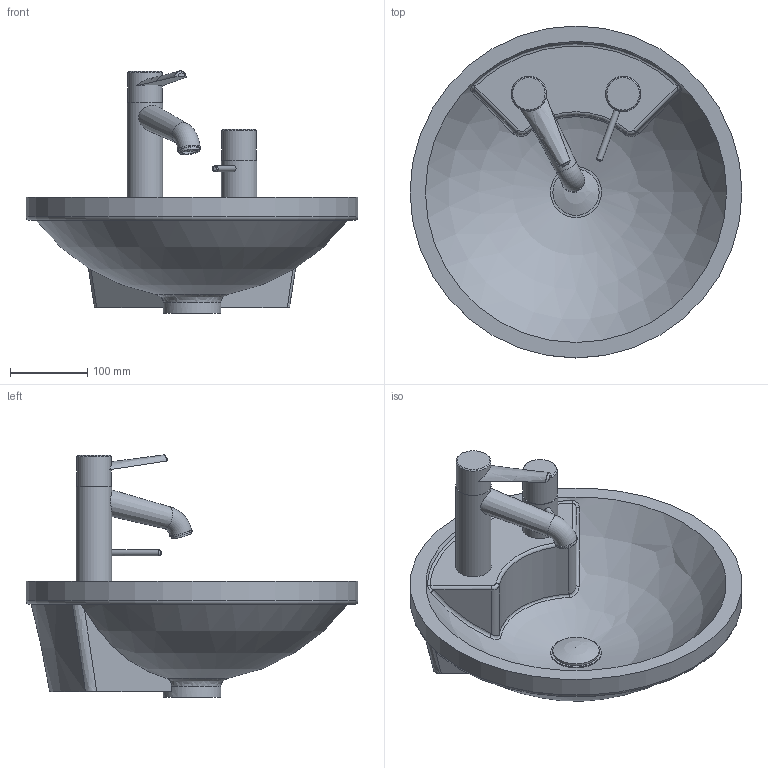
import cadquery as cq
import math


RIM_RADIUS = 430 / 2
RIM_HEIGHT = 30
RIM_FILLET = 5
OPENING_RADIUS = 195
INNER_SPHERE_RADIUS = 225
OUTER_SPHERE_RADIUS = 255
OUTER_BOWL_DEPTH = 130
NECK_RADIUS = 75 / 2
NECK_BOTTOM_Z = -150
NECK_FILLET = 10

SECTOR_HALF_ANGLE = 45
DECK_TOP_Z = -6
DECK_FRONT_RADIUS = 100
DECK_CORNER_FILLET = 10
DECK_EDGE_FILLET = 4
BLOCK_BOTTOM_Z = -143
BLOCK_TOP_RADIUS = 209
BLOCK_BOTTOM_RADIUS = 185
BLOCK_FILLET = 10

FLANGE_RADIUS = 66 / 2
FLANGE_TOP_Z = -109
FLANGE_THICKNESS = 4
PLUG_RADIUS = 60 / 2
PLUG_EDGE_Z = -106
PLUG_APEX_Z = -100.5
TAIL_RADIUS = 52 / 2

FITTING_X = 61
FITTING_Y = 127
COLUMN_RADIUS = 46 / 2
HEAD_RADIUS = 45 / 2
HEAD_HEIGHT = 40
HEAD_CHAMFER = 1.5
TAP_COLUMN_TOP_Z = 123
VALVE_COLUMN_TOP_Z = 48

TAP_TURN = 27
SPOUT_AXIS_Z = 107
SPOUT_SLOPE = 13
SPOUT_LENGTH = 109
SPOUT_ROOT_RADIUS = 35 / 2
SPOUT_TIP_RADIUS = 29 / 2
ELBOW_TURN = 61
ELBOW_BEND_RADIUS = 27
LIP_RADIUS = 30 / 2
LIP_LENGTH = 2
NOZZLE_RADIUS = 26 / 2
NOZZLE_LENGTH = 3
NOZZLE_BORE_RADIUS = 20 / 2

LEVER_LENGTH = 104.3
LEVER_ROOT_WIDTH = 40
LEVER_ROOT_HEIGHT = 9
LEVER_ROOT_Z = 142.9
LEVER_TIP_WIDTH = 16
LEVER_TIP_HEIGHT = 8
LEVER_TIP_Z = 156.11
LEVER_CHAMFER = 3

PIN_TURN = -20
PIN_RADIUS = 8 / 2
PIN_LENGTH = 92
PIN_Z = 37
PIN_CHAMFER = 1.5


def sphere_radius_at(sphere_radius, center_z, z):
    """Radius of the circle that a sphere on the Z axis makes at height z."""
    return math.sqrt(sphere_radius**2 - (z - center_z) ** 2)


def sphere_cap(radius, center_z, top_z):
    """Part of a sphere on the Z axis that lies below top_z."""
    ball = cq.Workplane("XY").sphere(radius).translate((0, 0, center_z))
    box = cq.Workplane("XY").box(2 * radius, 2 * radius, 2 * radius, centered=(True, True, False))
    return ball.intersect(box.translate((0, 0, top_z - 2 * radius)))


def sector_point(radius, side):
    """Point on one edge of the deck's sector; side is -1 or +1 along X."""
    angle = math.radians(SECTOR_HALF_ANGLE)
    return (side * radius * math.sin(angle), radius * math.cos(angle))


def make_deck_prism():
    """Sector with a rounded, concave front; it reaches out past the bowl's wall."""
    reach = RIM_RADIUS
    depth = INNER_SPHERE_RADIUS
    prism = (
        cq.Workplane("XY", origin=(0, 0, DECK_TOP_Z))
        .moveTo(*sector_point(DECK_FRONT_RADIUS, -1))
        .threePointArc((0, DECK_FRONT_RADIUS), sector_point(DECK_FRONT_RADIUS, 1))
        .lineTo(*sector_point(reach, 1))
        .threePointArc((0, reach), sector_point(reach, -1))
        .close()
        .extrude(-depth)
    )
    front_box = cq.selectors.BoxSelector(
        (-DECK_FRONT_RADIUS, 0, -2 * depth), (DECK_FRONT_RADIUS, DECK_FRONT_RADIUS, 0)
    )
    return prism.edges("|Z").edges(front_box).fillet(DECK_CORNER_FILLET)


def make_cavity():
    """Hollow of the bowl, with the filleted tap deck left standing in it."""
    center_z = math.sqrt(INNER_SPHERE_RADIUS**2 - OPENING_RADIUS**2)
    cavity = sphere_cap(INNER_SPHERE_RADIUS, center_z, 0).cut(make_deck_prism())
    deck_box = cq.selectors.BoxSelector(
        (-RIM_RADIUS, 0, -INNER_SPHERE_RADIUS), (RIM_RADIUS, RIM_RADIUS, DECK_TOP_Z / 2)
    )
    return cavity.edges(deck_box).fillet(DECK_EDGE_FILLET)


def make_block():
    """Wedge behind and below the bowl: conical back, flat radial sides."""
    profile = [
        (0, BLOCK_BOTTOM_Z),
        (BLOCK_BOTTOM_RADIUS, BLOCK_BOTTOM_Z),
        (BLOCK_TOP_RADIUS, -RIM_HEIGHT),
        (0, -RIM_HEIGHT),
    ]
    block = (
        cq.Workplane("XZ")
        .polyline(profile)
        .close()
        .revolve(2 * SECTOR_HALF_ANGLE, (0, 0, 0), (0, 1, 0))
        .rotate((0, 0, 0), (0, 0, 1), 90 - SECTOR_HALF_ANGLE)
    )
    middle_z = (BLOCK_BOTTOM_Z - RIM_HEIGHT) / 2
    middle_radius = (BLOCK_BOTTOM_RADIUS + BLOCK_TOP_RADIUS) / 2
    for side in (-1, 1):
        corner = sector_point(middle_radius, side) + (middle_z,)
        block = block.edges(cq.selectors.NearestToPointSelector(corner)).fillet(BLOCK_FILLET)
    return block


def make_basin_outside():
    """Rim, spherical bowl and drain neck, turned in one piece."""
    center_z = OUTER_SPHERE_RADIUS - OUTER_BOWL_DEPTH
    bowl_top_radius = sphere_radius_at(OUTER_SPHERE_RADIUS, center_z, -RIM_HEIGHT)
    neck_top_z = center_z - math.sqrt(OUTER_SPHERE_RADIUS**2 - NECK_RADIUS**2)
    middle_radius = (bowl_top_radius + NECK_RADIUS) / 2
    middle_z = center_z - math.sqrt(OUTER_SPHERE_RADIUS**2 - middle_radius**2)
    outside = (
        cq.Workplane("XZ")
        .lineTo(RIM_RADIUS, 0)
        .lineTo(RIM_RADIUS, RIM_FILLET - RIM_HEIGHT)
        .tangentArcPoint((RIM_RADIUS - RIM_FILLET, -RIM_HEIGHT), relative=False)
        .lineTo(bowl_top_radius, -RIM_HEIGHT)
        .threePointArc((middle_radius, middle_z), (NECK_RADIUS, neck_top_z))
        .lineTo(NECK_RADIUS, NECK_BOTTOM_Z)
        .lineTo(0, NECK_BOTTOM_Z)
        .close()
        .revolve(360, (0, 0, 0), (0, 1, 0))
    )
    neck_joint = cq.selectors.NearestToPointSelector((0, 0, neck_top_z))
    return outside.edges("%CIRCLE").edges(neck_joint).fillet(NECK_FILLET)


def make_basin(drain):
    return make_basin_outside().union(make_block()).cut(make_cavity()).cut(drain)


def make_drain():
    """Domed plug, its flange and the tail that fills the neck."""
    flange_bottom_z = FLANGE_TOP_Z - FLANGE_THICKNESS
    dome_rise = PLUG_APEX_Z - PLUG_EDGE_Z
    dome_radius = (PLUG_RADIUS**2 + dome_rise**2) / (2 * dome_rise)
    return (
        cq.Workplane("XZ")
        .moveTo(0, NECK_BOTTOM_Z)
        .lineTo(TAIL_RADIUS, NECK_BOTTOM_Z)
        .lineTo(TAIL_RADIUS, flange_bottom_z)
        .lineTo(FLANGE_RADIUS, flange_bottom_z)
        .lineTo(FLANGE_RADIUS, FLANGE_TOP_Z)
        .lineTo(PLUG_RADIUS, FLANGE_TOP_Z)
        .lineTo(PLUG_RADIUS, PLUG_EDGE_Z)
        .radiusArc((0, PLUG_APEX_Z), -dome_radius)
        .close()
        .revolve(360, (0, 0, 0), (0, 1, 0))
    )


def make_column(x, top_z):
    column = cq.Workplane("XY", origin=(x, FITTING_Y, DECK_TOP_Z))
    return column.circle(COLUMN_RADIUS).extrude(top_z - DECK_TOP_Z)


def make_head(x, bottom_z):
    head = cq.Workplane("XY", origin=(x, FITTING_Y, bottom_z)).circle(HEAD_RADIUS).extrude(HEAD_HEIGHT)
    return head.faces(">Z").chamfer(HEAD_CHAMFER)


def turn_into_place(arm, turn, x):
    """Swing an arm that runs along -Y about its column's axis, then move it there."""
    return arm.rotate((0, 0, 0), (0, 0, 1), turn).translate((x, FITTING_Y, 0))


def spout_plane(slope, origin):
    """Plane across the spout where it runs along -Y, sloping down by the given angle."""
    angle = math.radians(slope)
    return cq.Plane(origin=origin, xDir=(1, 0, 0), normal=(0, -math.cos(angle), -math.sin(angle)))


def make_spout(column, head):
    """Tapered arm, elbow, lip and hollow nozzle, ending against the column."""
    root = spout_plane(SPOUT_SLOPE, (0, 0, SPOUT_AXIS_Z))
    bend = spout_plane(SPOUT_SLOPE, root.toWorldCoords((0, 0, SPOUT_LENGTH)))
    bend_center = (0, -ELBOW_BEND_RADIUS)
    arm = (
        cq.Workplane(root)
        .circle(SPOUT_ROOT_RADIUS)
        .workplane(offset=SPOUT_LENGTH)
        .circle(SPOUT_TIP_RADIUS)
        .loft(ruled=True)
    )
    elbow = (
        cq.Workplane(bend)
        .circle(SPOUT_TIP_RADIUS)
        .revolve(ELBOW_TURN, bend_center, (1, -ELBOW_BEND_RADIUS))
    )
    turn = math.radians(ELBOW_TURN)
    end_drop = ELBOW_BEND_RADIUS * (1 - math.cos(turn))
    end_reach = ELBOW_BEND_RADIUS * math.sin(turn)
    end = spout_plane(SPOUT_SLOPE + ELBOW_TURN, bend.toWorldCoords((0, -end_drop, end_reach)))
    lip = cq.Workplane(end).circle(LIP_RADIUS).extrude(LIP_LENGTH)
    nozzle = (
        cq.Workplane(end)
        .workplane(offset=LIP_LENGTH)
        .circle(NOZZLE_RADIUS)
        .circle(NOZZLE_BORE_RADIUS)
        .extrude(NOZZLE_LENGTH)
    )
    spout = arm.union(elbow).union(lip).union(nozzle)
    return turn_into_place(spout, TAP_TURN, -FITTING_X).cut(column).cut(head)


def make_lever(head):
    """Flat-bottomed, round-topped lever that narrows to a chamfered tip."""
    tip_rise = LEVER_TIP_Z - LEVER_ROOT_Z
    lever = (
        cq.Workplane("XZ", origin=(0, 0, LEVER_ROOT_Z))
        .moveTo(-LEVER_ROOT_WIDTH / 2, 0)
        .threePointArc((0, LEVER_ROOT_HEIGHT), (LEVER_ROOT_WIDTH / 2, 0))
        .close()
        .workplane(offset=LEVER_LENGTH)
        .moveTo(-LEVER_TIP_WIDTH / 2, tip_rise)
        .threePointArc((0, tip_rise + LEVER_TIP_HEIGHT), (LEVER_TIP_WIDTH / 2, tip_rise))
        .close()
        .loft(ruled=True)
    )
    lever = lever.faces("<Y").edges(">Z").chamfer(LEVER_CHAMFER)
    return turn_into_place(lever, TAP_TURN, -FITTING_X).cut(head)


def make_pin(column):
    pin = cq.Workplane("XZ", origin=(0, 0, PIN_Z)).circle(PIN_RADIUS).extrude(PIN_LENGTH)
    pin = pin.faces("<Y").chamfer(PIN_CHAMFER)
    return turn_into_place(pin, PIN_TURN, FITTING_X).cut(column)


drain = make_drain()
basin = make_basin(drain)

tap_column = make_column(-FITTING_X, TAP_COLUMN_TOP_Z)
tap_head = make_head(-FITTING_X, TAP_COLUMN_TOP_Z)
spout = make_spout(tap_column, tap_head)
lever = make_lever(tap_head)

valve_column = make_column(FITTING_X, VALVE_COLUMN_TOP_Z)
valve_head = make_head(FITTING_X, VALVE_COLUMN_TOP_Z)
pin = make_pin(valve_column)

bodies = [basin, drain, tap_column, tap_head, spout, lever, valve_column, valve_head, pin]
result = cq.Compound.makeCompound([body.val() for body in bodies])